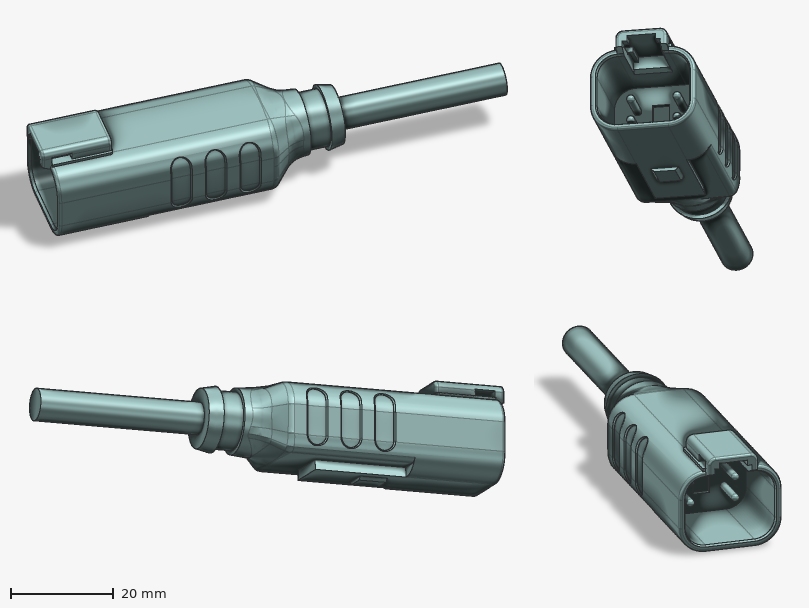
import cadquery as cq
import math


shell_width = 21.0
shell_top = 7.4
shell_bottom = -9.45
shell_corner = 5.45
shell_height = shell_top - shell_bottom
shell_mid_z = (shell_top + shell_bottom) / 2
wall = 1.3
rim_round = 0.55
mouth_bevel_width = 0.25
mouth_bevel_depth = 0.6
cavity_depth = 18.0
cavity_top = shell_top - wall

body_bottom = -shell_top
body_bottom_round = 1.6
step_y = 18.65
body_end_y = 44.6
body_end_round = 1.8

pad_end_y = 37.5
pad_width_top = 9.0
pad_width_bottom = 10.0
bump_bottom = -10.12
bump_start_y = 21.8
bump_end_y = 27.4
bump_width_top = 5.6
bump_width_bottom = 4.2

grip_first_y = 25.1
grip_pitch = 7.03
grip_count = 3
grip_width = 3.8
grip_height = 11.4
grip_depth = 0.35
grip_bevel = 0.3

shoulder_end_y = 49.3
boot_big_radius = 6.9
boot_end_radius = 6.6
boot_blend = 6.5

neck_diameter = 11.5
neck_start_y = 52.8
collar_start_y = 57.1
collar_end_y = 60.0
collar_big_radius = 6.55
collar_small_radius = 5.95
cable_diameter = 6.4
overall_length = 95.75
latch_front_y = -1.75
cable_end_y = overall_length + latch_front_y

latch_top = 10.6
latch_back_y = 12.65
latch_width = 10.2
latch_round = 1.45
latch_roof = 1.2
latch_seat_top = 7.9
latch_seat_width = 11.3
latch_front_round = 0.5
latch_back_round = 0.65
channel_width = 5.7
channel_low_width = 7.6
channel_end_y = 10.0
channel_ramp_top = 6.85
channel_step_z = 8.3
window_start_y = 0.25
window_end_y = 4.35
window_top = 9.35
hook_bottom = 6.4
hook_nose_bottom = 7.2

pin_diameter = 1.6
pin_pitch_x = 9.2
pin_pitch_z = 4.36
pin_length = 7.0
key_width = 3.4
key_height = 6.5
key_depth = 1.0


def rounded_rectangle(width, height, corner):
    return cq.Sketch().rect(width, height).vertices().fillet(corner)


def section_plane(y, z=0):
    """Workplane across the part axis whose local X is global X and local Y is global Z."""
    return cq.Workplane("XZ", origin=(0, y, z))


def shell_prism(inset, y_start, y_end, taper=0):
    """Length of the shell section, shrunk inward by inset and narrowing along Y by the taper angle."""
    width = shell_width - 2 * inset
    height = shell_height - 2 * inset
    outline = rounded_rectangle(width, height, shell_corner - inset)
    return section_plane(y_start, shell_mid_z).placeSketch(outline).extrude(y_start - y_end, taper=taper)


def block(width, y_start, y_end, z_start, z_end):
    size = (width, y_end - y_start, z_end - z_start)
    return cq.Workplane("XY", origin=(0, y_start, z_start)).box(*size, centered=(True, False, False))


def make_front_shell():
    return shell_prism(0, 0, step_y).faces("<Y").edges().fillet(rim_round)


def make_rear_body(inset):
    body = shell_prism(inset, step_y, body_end_y)
    body = body.intersect(block(2 * shell_width, step_y, body_end_y, body_bottom, shell_top))
    return body.faces("<Z").edges("|Y").fillet(body_bottom_round)


def trapezoid_pad(top_width, bottom_width, y_start, y_end, z_top, z_bottom):
    outline = [
        (-top_width / 2, z_top),
        (top_width / 2, z_top),
        (bottom_width / 2, z_bottom),
        (-bottom_width / 2, z_bottom),
    ]
    return section_plane(y_start).polyline(outline).close().extrude(y_start - y_end)


def make_underside_pad():
    pad = trapezoid_pad(pad_width_top, pad_width_bottom, step_y, pad_end_y, body_bottom, shell_bottom)
    bump = trapezoid_pad(bump_width_top, bump_width_bottom, bump_start_y, bump_end_y, shell_bottom, bump_bottom)
    return pad.union(bump)


def edges_in_band(y_center, reach):
    """Selector for edges that lie wholly within reach of a plane across the axis."""
    low = (-shell_width, y_center - reach, -shell_width)
    high = (shell_width, y_center + reach, shell_width)
    return cq.selectors.BoxSelector(low, high, boundingbox=True)


def cut_grips(body):
    """Sink the grip recesses evenly below the curved sides and bevel their outer edges."""
    core = make_rear_body(grip_depth)
    floor = core.val()
    near_full_depth = 0.9 * grip_depth
    for index in range(grip_count):
        y = grip_first_y + index * grip_pitch
        slot_plane = cq.Workplane("YZ", origin=(0, y, 0))
        slot = slot_plane.slot2D(grip_height, grip_width, 90).extrude(shell_width, both=True)
        body = body.cut(slot.cut(core))
        slot_edges = body.edges(edges_in_band(y, grip_pitch / 2))
        outer_edges = slot_edges.filter(lambda edge: edge.distance(floor) > near_full_depth)
        body = outer_edges.chamfer(grip_bevel)
    return body


def make_shoulder(body):
    """Taper from the end face of the rear body to the round boot."""
    body_wire = body.faces(">Y").wires().val()
    boot_wire = section_plane(shoulder_end_y).circle(boot_big_radius).wires().val()
    return cq.Workplane(obj=cq.Solid.makeLoft([body_wire, boot_wire], True))


def make_boot_and_cable():
    half_profile = [
        (0, shoulder_end_y),
        (boot_big_radius, shoulder_end_y),
        (boot_end_radius, neck_start_y),
        (neck_diameter / 2, neck_start_y),
        (neck_diameter / 2, collar_start_y),
        (collar_big_radius, collar_start_y),
        (collar_small_radius, collar_end_y),
        (cable_diameter / 2, collar_end_y),
        (cable_diameter / 2, cable_end_y),
        (0, cable_end_y),
    ]
    return cq.Workplane("XY").polyline(half_profile).close().revolve(360, (0, 0, 0), (0, 1, 0))


def make_rear():
    """Rear body, shoulder, boot and cable with their blended joints."""
    body = make_rear_body(0)
    shoulder = make_shoulder(body)
    joint_reach = 0.01
    rear = cut_grips(body).union(shoulder)
    rear = rear.edges(edges_in_band(body_end_y, joint_reach)).fillet(body_end_round)
    rear = rear.union(make_boot_and_cable())
    return rear.edges(edges_in_band(shoulder_end_y, joint_reach)).fillet(boot_blend)


def make_latch_bridge():
    """Bridge that overhangs the rim, standing on a slightly wider seat."""
    bridge = block(latch_width, latch_front_y, latch_back_y, hook_bottom, latch_top)
    bridge = bridge.faces(">Z").edges("|Y").fillet(latch_round)
    bridge = bridge.faces("<Y").edges("not <Z").fillet(latch_front_round)
    bridge = bridge.faces(">Y").edges("not <Z").fillet(latch_back_round)
    nose = (
        cq.Workplane("YZ")
        .polyline([(latch_front_y, hook_bottom), (latch_front_y, hook_nose_bottom), (0, hook_bottom)])
        .close()
        .extrude(latch_width, both=True)
    )
    seat = block(latch_seat_width, window_start_y, latch_back_y, hook_bottom, latch_seat_top)
    seat = seat.faces(">Y").edges("|Z").fillet(latch_back_round)
    return bridge.cut(nose).union(seat)


def make_latch_openings():
    """Stepped channel under the bridge roof, joined by the windows through its sides."""
    upper = block(channel_width, latch_front_y, channel_end_y, hook_bottom, latch_top - latch_roof)
    lower = block(channel_low_width, latch_front_y, channel_end_y, cavity_top - wall, channel_step_z)
    windows = block(shell_width, window_start_y, window_end_y, latch_seat_top, window_top)
    ramp_corners = [
        (channel_end_y, cavity_top - wall),
        (channel_end_y, channel_ramp_top),
        (channel_end_y + channel_ramp_top - cavity_top, cavity_top),
    ]
    ramp = cq.Workplane("YZ").polyline(ramp_corners).close().extrude(channel_low_width / 2, both=True)
    return upper.union(lower).union(windows).union(ramp)


def make_cavity():
    """Hollow of the shell with a slim lead-in bevel at its mouth."""
    bevel_angle = math.degrees(math.atan2(mouth_bevel_width, mouth_bevel_depth))
    mouth = shell_prism(wall - mouth_bevel_width, 0, mouth_bevel_depth, bevel_angle)
    return shell_prism(wall, 0, cavity_depth).union(mouth)


def make_contacts():
    pins = section_plane(cavity_depth, shell_mid_z).rarray(pin_pitch_x, pin_pitch_z, 2, 2)
    pins = pins.circle(pin_diameter / 2).extrude(pin_length)
    tips = section_plane(cavity_depth - pin_length, shell_mid_z).rarray(pin_pitch_x, pin_pitch_z, 2, 2)
    return pins.union(tips.sphere(pin_diameter / 2))


def make_key_recess():
    return section_plane(cavity_depth, shell_mid_z).rect(key_width, key_height).extrude(-key_depth)


result = (
    make_front_shell()
    .union(make_rear())
    .union(make_underside_pad())
    .union(make_latch_bridge())
    .cut(make_latch_openings())
    .cut(make_cavity())
    .cut(make_key_recess())
    .union(make_contacts())
)